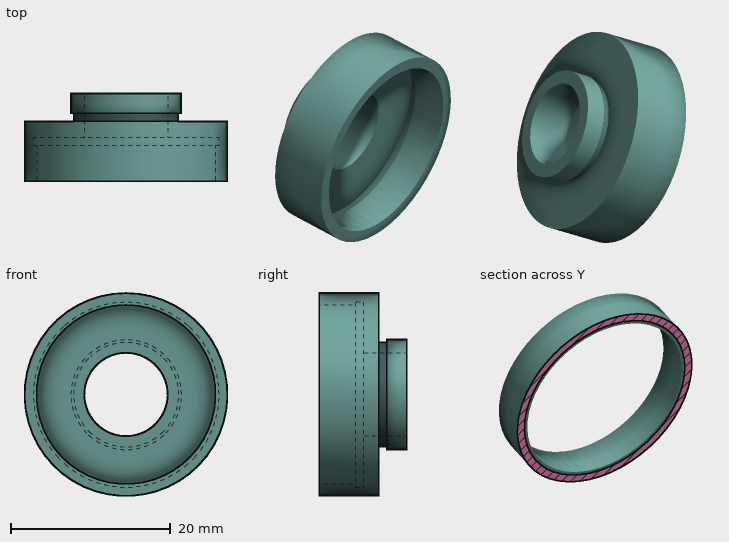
import cadquery as cq

total_length = 11.0
boss_lip_length = 2.5
neck_length = 1.0
cup_length = total_length - boss_lip_length - neck_length

cup_diameter = 25.4
cup_wall = 1.5
recess_diameter = cup_diameter - 2 * cup_wall
recess_depth = 5.5

relief_depth = 0.4
relief_width = 1.0

neck_diameter = 13.1
boss_lip_diameter = 13.8
bore_diameter = 10.4

open_face_y = -total_length / 2


def cylinder(diameter, start, length):
    """Cylinder along +Y, starting at the given distance from the open face."""
    base_center = cq.Vector(0, open_face_y + start, 0)
    return cq.Workplane(cq.Solid.makeCylinder(diameter / 2, length, base_center, cq.Vector(0, 1, 0)))


def make_body():
    """Cup blank, narrow neck and wider boss lip stacked along the axis."""
    cup = cylinder(cup_diameter, 0, cup_length)
    neck = cylinder(neck_diameter, cup_length, neck_length)
    boss_lip = cylinder(boss_lip_diameter, cup_length + neck_length, boss_lip_length)
    return cup.union(neck).union(boss_lip)


def make_recess():
    """Round recess with a shallow relief groove in its wall at the floor."""
    recess = cylinder(recess_diameter, 0, recess_depth)
    relief_diameter = recess_diameter + 2 * relief_depth
    relief = cylinder(relief_diameter, recess_depth - relief_width, relief_width)
    return recess.union(relief)


bore = cylinder(bore_diameter, 0, total_length)

result = make_body().cut(make_recess()).cut(bore)